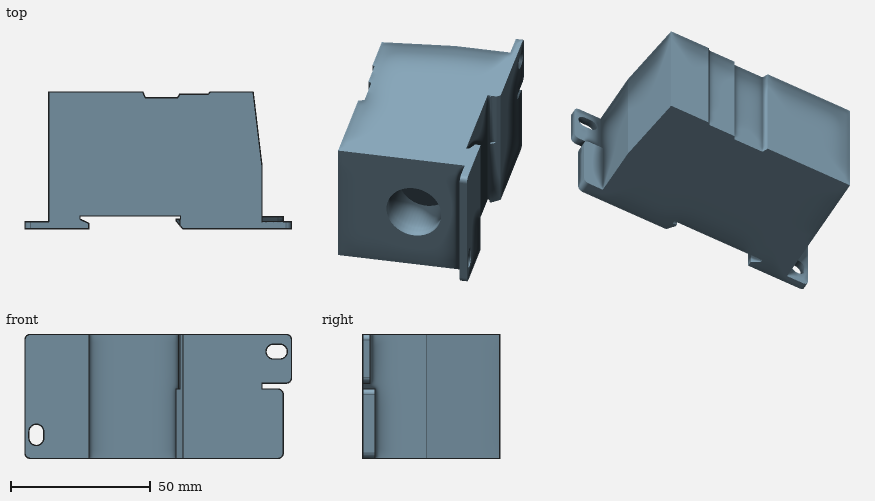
import cadquery as cq

length = 95.4
depth = 49.0
width = 44.5

body_left = 8.5
body_right = 84.8
body_front_right = 81.7
taper_start = 22.8

plate_thickness = 2.7
short_tab_end = 92.4
short_tab_thickness = 4.4
short_tab_top = 24.9
long_tab_bottom = 26.9
corner_radius = 2.0

rail_floor = 4.6
fixed_hook_root = 19.75
fixed_hook_tip = 22.9
fixed_hook_tip_height = 2.0
latch_root = 55.6
latch_tip = 54.1
latch_foot = 56.5
latch_slope_top = 2.9
hook_inner_height = 3.5

latch_relief_tip = 54.95
latch_relief_wall = 55.4
latch_relief_chamfer_end = 3.0

label_left = 42.2
label_right = 66.3
deep_floor = 46.9
deep_floor_left = 43.1
deep_floor_right = 54.6
shallow_floor = 48.2
shallow_floor_left = 55.3
shallow_floor_right = 65.5

bore_diameter = 20.0
bore_depth = bore_diameter
bore_y = 21.3

slot_length = 7.5
slot_width = 5.2
left_slot_x = 4.1
left_slot_z = 8.5
right_slot_x = 90.1
right_slot_z = 38.3


def prism(points, bottom, top):
    """Extrude an XY outline between two heights in Z."""
    return cq.Workplane("XY", origin=(0, 0, bottom)).polyline(points).close().extrude(top - bottom)


def tab(left, right, thickness, bottom, top):
    """Plate tab lying on the mounting face."""
    outline = [(left, 0), (right, 0), (right, thickness), (left, thickness)]
    return prism(outline, bottom, top)


def housing():
    """Block with a tapered right end and a stepped recess in its front face."""
    return prism(
        [
            (body_left, 0),
            (body_right, 0),
            (body_right, taper_start),
            (body_front_right, depth),
            (label_right, depth),
            (shallow_floor_right, shallow_floor),
            (shallow_floor_left, shallow_floor),
            (deep_floor_right, deep_floor),
            (deep_floor_left, deep_floor),
            (label_left, depth),
            (body_left, depth),
        ],
        0,
        width,
    )


def end_tabs():
    """One full-width tab on the left, a long and a short one on the right, with rounded outer corners."""
    left_tab = tab(0, body_left, plate_thickness, 0, width)
    long_tab = tab(body_right, length, plate_thickness, long_tab_bottom, width)
    short_tab = tab(body_right, short_tab_end, short_tab_thickness, 0, short_tab_top)
    return [
        left_tab.edges("|Y and <X").fillet(corner_radius),
        long_tab.edges("|Y and >X").fillet(corner_radius),
        short_tab.edges("|Y and >X").fillet(corner_radius),
    ]


def rail_groove():
    """Undercut groove between the fixed hook and the latch."""
    return prism(
        [
            (fixed_hook_tip, 0),
            (fixed_hook_tip, fixed_hook_tip_height),
            (fixed_hook_root, hook_inner_height),
            (fixed_hook_root, rail_floor),
            (latch_root, rail_floor),
            (latch_root, hook_inner_height),
            (latch_tip, hook_inner_height),
            (latch_tip, latch_slope_top),
            (latch_foot, 0),
        ],
        0,
        width,
    )


def latch_relief():
    """Shortens the latch beside the long tab, leaving a chamfered nose."""
    return prism(
        [
            (latch_tip, 0),
            (latch_tip, hook_inner_height),
            (latch_relief_tip, hook_inner_height),
            (latch_relief_wall, latch_relief_chamfer_end),
            (latch_relief_wall, 0),
        ],
        short_tab_top,
        width,
    )


def cable_bore():
    """Blind round hole running in from the left end."""
    start = cq.Workplane("YZ", origin=(body_left, bore_y, width / 2))
    return start.circle(bore_diameter / 2).extrude(bore_depth)


def screw_slot(x, z, angle):
    """Round-ended slot through a plate tab, turned by angle from the X direction."""
    start = cq.Workplane("XZ", origin=(x, 0, z))
    return start.slot2D(slot_length, slot_width, angle).extrude(-plate_thickness)


result = housing()
for end_tab in end_tabs():
    result = result.union(end_tab)
result = result.cut(rail_groove())
result = result.cut(latch_relief())
result = result.cut(cable_bore())
result = result.cut(screw_slot(left_slot_x, left_slot_z, 90))
result = result.cut(screw_slot(right_slot_x, right_slot_z, 0))